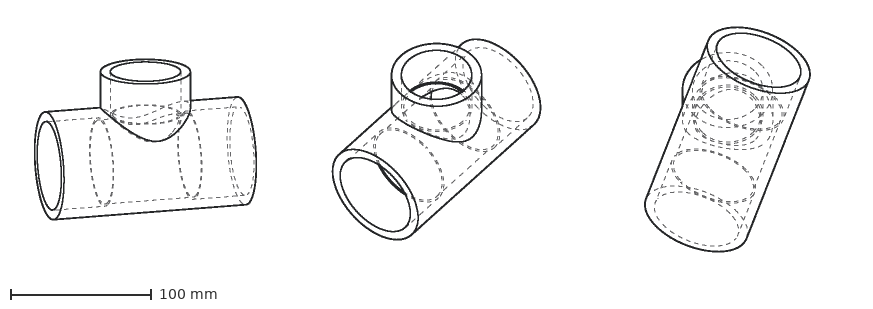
import cadquery as cq

run_length = 142.0
run_diameter = 77.0
run_socket_diameter = 63.0
run_bore_diameter = 59.9
run_socket_depth = 38.5

overall_height = 102.5
branch_height = overall_height - run_diameter / 2
branch_diameter = 64.0
branch_socket_diameter = 50.0
branch_bore_diameter = 47.0
branch_socket_depth = 31.5


def run_cylinder(diameter, length, start):
    """Cylinder along +Y whose first end lies at Y = start."""
    plane = cq.Plane(origin=(0, start, 0), xDir=(1, 0, 0), normal=(0, 1, 0))
    return cq.Workplane(plane).circle(diameter / 2).extrude(length)


def branch_cylinder(diameter, bottom=0):
    """Cylinder along Z from the given height to the branch mouth."""
    return (
        cq.Workplane("XY")
        .workplane(offset=bottom)
        .circle(diameter / 2)
        .extrude(branch_height - bottom)
    )


run_start = -run_length / 2
body = run_cylinder(run_diameter, run_length, run_start).union(branch_cylinder(branch_diameter))

body = body.cut(run_cylinder(run_bore_diameter, run_length, run_start))
body = body.cut(branch_cylinder(branch_bore_diameter))

for socket_start in (run_start, run_length / 2 - run_socket_depth):
    body = body.cut(run_cylinder(run_socket_diameter, run_socket_depth, socket_start))
result = body.cut(branch_cylinder(branch_socket_diameter, branch_height - branch_socket_depth))